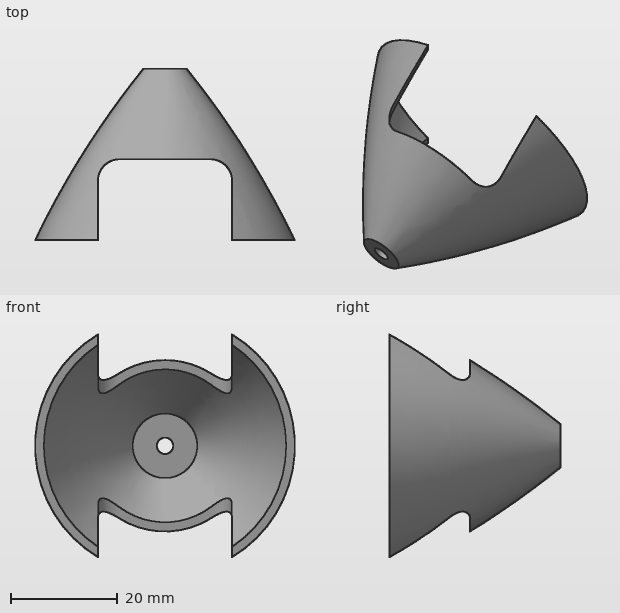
import cadquery as cq

height = 32.0
base_radius = 24.3
tip_radius = 4.05
middle_height = 15.05
middle_radius = 16.05

inner_base_radius = 22.65
inner_middle_radius = 14.3
floor_radius = 6.0
floor_height = 27.0
bore_diameter = 3.0

slot_width = 25.0
slot_depth = middle_height
slot_corner_radius = 4.0
slot_length = 2.4 * base_radius


def revolved_dome(start_radius, mid_radius, end_radius, end_height):
    """Solid of revolution about Y with a gently curved flank."""
    return (
        cq.Workplane("ZY")
        .lineTo(start_radius, 0)
        .threePointArc((mid_radius, middle_height), (end_radius, end_height))
        .lineTo(0, end_height)
        .close()
        .revolve(360, (0, 0), (0, 1))
    )


def blade_slot():
    """Round-cornered slot, open at the base, crossing the whole shell along Z."""
    return (
        cq.Workplane("XY")
        .box(slot_width, 2 * slot_depth, slot_length)
        .edges("|Z and >Y")
        .fillet(slot_corner_radius)
    )


def shaft_bore():
    """Hole along the axis through the tip."""
    return cq.Workplane("XZ").circle(bore_diameter / 2).extrude(-height)


outer = revolved_dome(base_radius, middle_radius, tip_radius, height)
cavity = revolved_dome(inner_base_radius, inner_middle_radius, floor_radius, floor_height)

result = outer.cut(cavity).cut(blade_slot()).cut(shaft_bore())